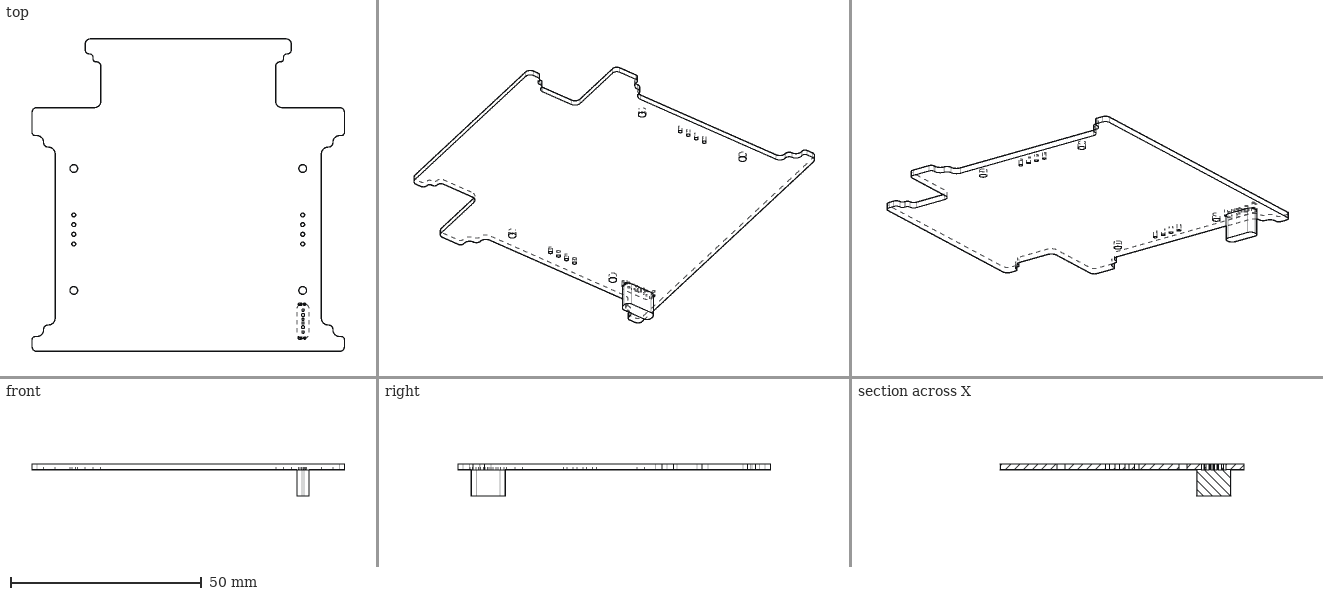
import cadquery as cq

BOARD_SIZE = 82.0
BOARD_THICKNESS = 1.55
TOTAL_HEIGHT = 8.45
HALF_SIZE = BOARD_SIZE / 2

SHOULDER_Y = HALF_SIZE - 18.0
FLANGE_HEIGHT = 7.4
BASE_HEIGHT = 3.9
STEP = 3.0
WAIST_HALF_WIDTH = HALF_SIZE - 2 * STEP

HEAD_HALF_WIDTH = 27.1
HEAD_HEIGHT = 4.0
HEAD_STEP = 2.05
NECK_HALF_WIDTH = HEAD_HALF_WIDTH - 2 * HEAD_STEP

CORNER_RADIUS = 1.3
LIP_RADIUS = 0.9
STEP_INNER_RADIUS = 1.7
STEP_OUTER_RADIUS = 1.2
NECK_RADIUS = 1.6
HEAD_CORNER_RADIUS = 1.5
HEAD_LIP_RADIUS = 1.15
HEAD_STEP_RADIUS = 0.8
HEAD_NECK_RADIUS = 1.15

COLUMN_X = 30.0
COLUMN_Y = -9.0
MOUNT_HOLE_DIAMETER = 2.0
MOUNT_HOLE_SPACING = 32.0
PIN_HOLE_DIAMETER = 1.0
PIN_COUNT = 4
PIN_PITCH = 2.55

CONNECTOR_X = 30.1
CONNECTOR_Y = -33.05
CONNECTOR_WIDTH = 3.2
CONNECTOR_LENGTH = 9.0
CONNECTOR_HEIGHT = TOTAL_HEIGHT - BOARD_THICKNESS
CONNECTOR_RADIUS = 1.4

SHIELD_DIAMETER = 0.6
SHIELD_SLOT_LENGTH = 1.0
SHIELD_SLOT_X = 29.35
SHIELD_HOLE_X = 30.5
SHIELD_SPACING = 8.85
PEG_DIAMETER = 0.65
PEG_SPACING = 5.7
INNER_CONTACT_DIAMETER = 0.6
INNER_CONTACT_SPACING = 1.0
OUTER_CONTACT_DIAMETER = 0.8
OUTER_CONTACT_SPACING = 3.2


def left_corners():
    """Corners of the left edge from top to bottom, each with its rounding radius."""
    head_bottom = HALF_SIZE - HEAD_HEIGHT
    flange_bottom = SHOULDER_Y - FLANGE_HEIGHT
    base_top = -HALF_SIZE + BASE_HEIGHT
    return [
        (-HEAD_HALF_WIDTH, HALF_SIZE, HEAD_CORNER_RADIUS),
        (-HEAD_HALF_WIDTH, head_bottom, HEAD_LIP_RADIUS),
        (-HEAD_HALF_WIDTH + HEAD_STEP, head_bottom, HEAD_STEP_RADIUS),
        (-HEAD_HALF_WIDTH + HEAD_STEP, head_bottom - HEAD_STEP, HEAD_STEP_RADIUS),
        (-NECK_HALF_WIDTH, head_bottom - HEAD_STEP, HEAD_NECK_RADIUS),
        (-NECK_HALF_WIDTH, SHOULDER_Y, NECK_RADIUS),
        (-HALF_SIZE, SHOULDER_Y, CORNER_RADIUS),
        (-HALF_SIZE, flange_bottom, LIP_RADIUS),
        (-HALF_SIZE + STEP, flange_bottom, STEP_INNER_RADIUS),
        (-HALF_SIZE + STEP, flange_bottom - STEP, STEP_OUTER_RADIUS),
        (-WAIST_HALF_WIDTH, flange_bottom - STEP, STEP_INNER_RADIUS),
        (-WAIST_HALF_WIDTH, base_top + STEP, STEP_INNER_RADIUS),
        (-HALF_SIZE + STEP, base_top + STEP, STEP_OUTER_RADIUS),
        (-HALF_SIZE + STEP, base_top, STEP_INNER_RADIUS),
        (-HALF_SIZE, base_top, LIP_RADIUS),
        (-HALF_SIZE, -HALF_SIZE, CORNER_RADIUS),
    ]


def make_blank():
    """Board outline with square corners, then each corner rounded."""
    left = left_corners()
    right = [(-x, y, radius) for x, y, radius in reversed(left)]
    corners = left + right
    blank = cq.Workplane("XY").polyline([(x, y) for x, y, _ in corners]).close().extrude(BOARD_THICKNESS)
    solid = blank.val()
    for radius in sorted({radius for _, _, radius in corners}):
        spots = [(x, y) for x, y, r in corners if r == radius]
        edges = [
            edge
            for edge in cq.Workplane(solid).edges("|Z").vals()
            if any(abs(edge.Center().x - x) + abs(edge.Center().y - y) < 0.001 for x, y in spots)
        ]
        solid = solid.fillet(radius, edges)
    return cq.Workplane(solid)


def column_points(x, y, count, pitch):
    """Evenly spaced points along Y, centred on (x, y)."""
    return [(x, y + (i - (count - 1) / 2) * pitch) for i in range(count)]


def drill(points, diameter):
    """Cutters for round holes through the board."""
    return cq.Workplane("XY").pushPoints(points).circle(diameter / 2).extrude(BOARD_THICKNESS)


def make_board():
    board = make_blank()
    for x in (-COLUMN_X, COLUMN_X):
        board = board.cut(drill(column_points(x, COLUMN_Y, 2, MOUNT_HOLE_SPACING), MOUNT_HOLE_DIAMETER))
        board = board.cut(drill(column_points(x, COLUMN_Y, PIN_COUNT, PIN_PITCH), PIN_HOLE_DIAMETER))
    return cut_connector_footprint(board)


def cut_connector_footprint(board):
    """Mirrored pairs: shield slots and holes at both ends, locating pegs and contacts between them."""
    slots = (
        cq.Workplane("XY")
        .pushPoints(column_points(SHIELD_SLOT_X, CONNECTOR_Y, 2, SHIELD_SPACING))
        .slot2D(SHIELD_SLOT_LENGTH, SHIELD_DIAMETER)
        .extrude(BOARD_THICKNESS)
    )
    board = board.cut(slots)
    round_pairs = [
        (SHIELD_HOLE_X, SHIELD_SPACING, SHIELD_DIAMETER),
        (CONNECTOR_X, PEG_SPACING, PEG_DIAMETER),
        (CONNECTOR_X, OUTER_CONTACT_SPACING, OUTER_CONTACT_DIAMETER),
        (CONNECTOR_X, INNER_CONTACT_SPACING, INNER_CONTACT_DIAMETER),
    ]
    for x, spacing, diameter in round_pairs:
        board = board.cut(drill(column_points(x, CONNECTOR_Y, 2, spacing), diameter))
    return board


def make_connector():
    return (
        cq.Workplane("XY")
        .center(CONNECTOR_X, CONNECTOR_Y)
        .rect(CONNECTOR_WIDTH, CONNECTOR_LENGTH)
        .extrude(-CONNECTOR_HEIGHT)
        .edges("|Z")
        .fillet(CONNECTOR_RADIUS)
    )


board = make_board()
connector = make_connector()
result = cq.Compound.makeCompound([board.val(), connector.val()])